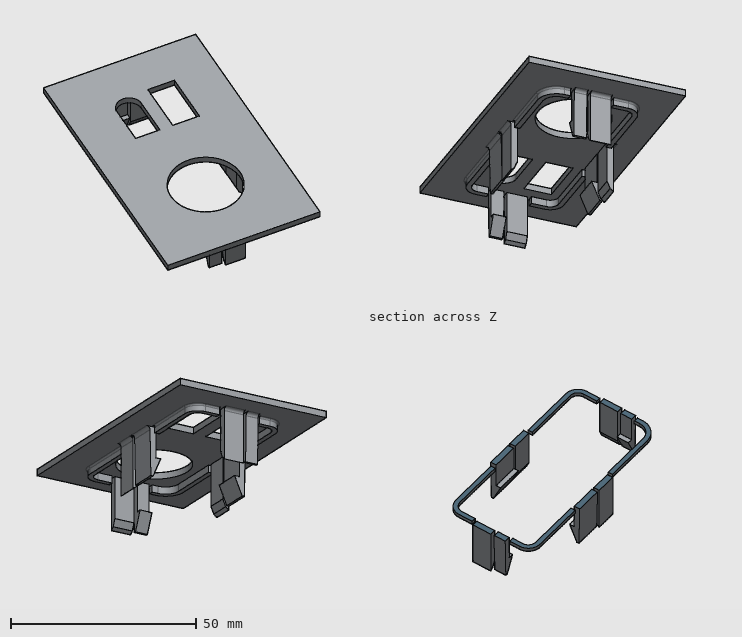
import cadquery as cq
import math

PLATE_LENGTH = 75.5
PLATE_WIDTH = 45.9
PLATE_THICKNESS = 1.9
TOTAL_HEIGHT = 17.0

ROUND_HOLE_CENTRE = (14.7, -0.1)
ROUND_HOLE_DIAMETER = 20.8
RECTANGLE_X = (-24.6, -9.45)
RECTANGLE_Y = (2.0, 10.0)
SLOT_X = (-24.4, RECTANGLE_X[1])
SLOT_Y = (-9.2, -1.9)

LIP_X = (-29.2, 28.95)
LIP_Y = (-14.4, 13.95)
LIP_HEIGHT = 2.1
LIP_WALL = 1.5
LIP_CORNER_RADIUS = 4.0
LIP_WIDE_CORNER_RADIUS = 5.5
LIP_FILLET = 0.5
LIP_GAP_X = (-9.15, 7.6)
LIP_GAP_Y = (-7.05, 5.5)

CLIP_THICKNESS = 1.9
CLIP_FILLET = 1.0
PLAIN_LEG_LENGTH = TOTAL_HEIGHT - PLATE_THICKNESS
BEVEL_HEIGHT = 0.8
HOOK_LEG_LENGTH = PLAIN_LEG_LENGTH - BEVEL_HEIGHT
HOOK_SHOULDER_DEPTH = 8.8
HOOK_REACH = 1.5
TIP_WIDTH = 1.0
HOOK_DRAFT_ANGLE = 1.2
X_SIDE_HOOK_SPAN = (-6.15, -2.4)
X_SIDE_PLAIN_SPAN = (-1.45, 4.6)
Y_SIDE_HOOK_SPAN = (-8.2, -0.1)
Y_SIDE_PLAIN_SPAN = (0.6, 6.9)

CLIP_SIDES = [
    ((-1, 0), (29.95, X_SIDE_HOOK_SPAN), (30.15, X_SIDE_PLAIN_SPAN)),
    ((1, 0), (29.4, X_SIDE_HOOK_SPAN), (29.45, X_SIDE_PLAIN_SPAN)),
    ((0, -1), (15.1, Y_SIDE_HOOK_SPAN), (15.15, Y_SIDE_PLAIN_SPAN)),
    ((0, 1), (14.85, Y_SIDE_HOOK_SPAN), (14.9, Y_SIDE_PLAIN_SPAN)),
]


def block(x_range, y_range, z_range):
    """Box given by its limits along each axis."""
    sizes = [high - low for low, high in (x_range, y_range, z_range)]
    corner = (x_range[0], y_range[0], z_range[0])
    return cq.Workplane("XY").box(*sizes, centered=False).translate(corner)


def plate_with_lip():
    """Plate with the lip ring, blended into the underside along its outer foot."""
    plate = cq.Workplane("XY").rect(PLATE_LENGTH, PLATE_WIDTH).extrude(PLATE_THICKNESS)

    lip = block(LIP_X, LIP_Y, (-LIP_HEIGHT, 0))
    lip = lip.edges("|Z and >X and <Y").fillet(LIP_WIDE_CORNER_RADIUS)
    corner_selectors = ("|Z and <X and <Y", "|Z and <X and >Y", "|Z and >X and >Y")
    for selector in corner_selectors:
        lip = lip.edges(selector).fillet(LIP_CORNER_RADIUS)
    lip_outline = lip.faces("<Z").wires().toPending()
    cavity = lip_outline.offset2D(-LIP_WALL).extrude(LIP_HEIGHT, combine=False)

    foot_margin = 0.1
    foot_edges = cq.selectors.BoxSelector(
        (LIP_X[0] - foot_margin, LIP_Y[0] - foot_margin, -foot_margin),
        (LIP_X[1] + foot_margin, LIP_Y[1] + foot_margin, foot_margin),
    )
    body = plate.union(lip).edges(foot_edges).fillet(LIP_FILLET)

    body = body.cut(cavity)
    below_plate = (-LIP_HEIGHT, 0)
    full_length = (-PLATE_LENGTH / 2, PLATE_LENGTH / 2)
    full_width = (-PLATE_WIDTH / 2, PLATE_WIDTH / 2)
    body = body.cut(block(LIP_GAP_X, full_width, below_plate))
    return body.cut(block(full_length, LIP_GAP_Y, below_plate))


def round_hole():
    return (
        cq.Workplane("XY")
        .center(*ROUND_HOLE_CENTRE)
        .circle(ROUND_HOLE_DIAMETER / 2)
        .extrude(PLATE_THICKNESS)
    )


def rounded_slot():
    """Slot with a full round on its -X end."""
    low_y, high_y = SLOT_Y
    end_radius = (high_y - low_y) / 2
    round_centre_x = SLOT_X[0] + end_radius
    return (
        cq.Workplane("XY")
        .moveTo(round_centre_x, low_y)
        .lineTo(SLOT_X[1], low_y)
        .lineTo(SLOT_X[1], high_y)
        .lineTo(round_centre_x, high_y)
        .threePointArc((SLOT_X[0], low_y + end_radius), (round_centre_x, low_y))
        .close()
        .extrude(PLATE_THICKNESS)
    )


def clip_plane(outward, face_distance):
    """Section plane with local x outward from the outer clip face and local y up."""
    out_x, out_y = outward
    return cq.Plane(
        origin=(out_x * face_distance, out_y * face_distance, 0),
        xDir=(out_x, out_y, 0),
        normal=(out_y, -out_x, 0),
    )


def start_leg(outward, face_distance, span):
    """Leg section from its inner root to the end of the outer root fillet."""
    out_x, out_y = outward
    start = min((out_y - out_x) * limit for limit in span)
    arc_offset = CLIP_FILLET * (1 - math.sqrt(0.5))
    return (
        cq.Workplane(clip_plane(outward, face_distance))
        .workplane(offset=start)
        .moveTo(-CLIP_THICKNESS, 0)
        .lineTo(CLIP_FILLET, 0)
        .threePointArc((arc_offset, -arc_offset), (0, -CLIP_FILLET))
    )


def plain_leg(outward, face_distance, span):
    """Longer leg whose end is bevelled to a sharp outer edge and tapered on its inner side like the barb."""
    taper_slope = (HOOK_LEG_LENGTH - HOOK_SHOULDER_DEPTH) / (CLIP_THICKNESS + HOOK_REACH - TIP_WIDTH)
    taper_rise = (CLIP_THICKNESS - TIP_WIDTH) * taper_slope
    return (
        start_leg(outward, face_distance, span)
        .lineTo(0, -PLAIN_LEG_LENGTH)
        .lineTo(-TIP_WIDTH, -HOOK_LEG_LENGTH)
        .lineTo(-CLIP_THICKNESS, taper_rise - HOOK_LEG_LENGTH)
        .close()
        .extrude(span[1] - span[0])
    )


def hook_leg(outward, face_distance, span):
    """Leg with a drafted outer face and an inward barb."""
    draft = (HOOK_LEG_LENGTH - CLIP_FILLET) * math.tan(math.radians(HOOK_DRAFT_ANGLE))
    barb_tip = -CLIP_THICKNESS - HOOK_REACH
    return (
        start_leg(outward, face_distance, span)
        .lineTo(-draft, -HOOK_LEG_LENGTH)
        .lineTo(-TIP_WIDTH, -HOOK_LEG_LENGTH)
        .lineTo(barb_tip, -HOOK_SHOULDER_DEPTH)
        .lineTo(-CLIP_THICKNESS, -HOOK_SHOULDER_DEPTH)
        .close()
        .extrude(span[1] - span[0])
    )


result = plate_with_lip()
result = result.cut(round_hole())
result = result.cut(block(RECTANGLE_X, RECTANGLE_Y, (0, PLATE_THICKNESS)))
result = result.cut(rounded_slot())
for outward, (hook_distance, hook_span), (plain_distance, plain_span) in CLIP_SIDES:
    result = result.union(hook_leg(outward, hook_distance, hook_span))
    result = result.union(plain_leg(outward, plain_distance, plain_span))